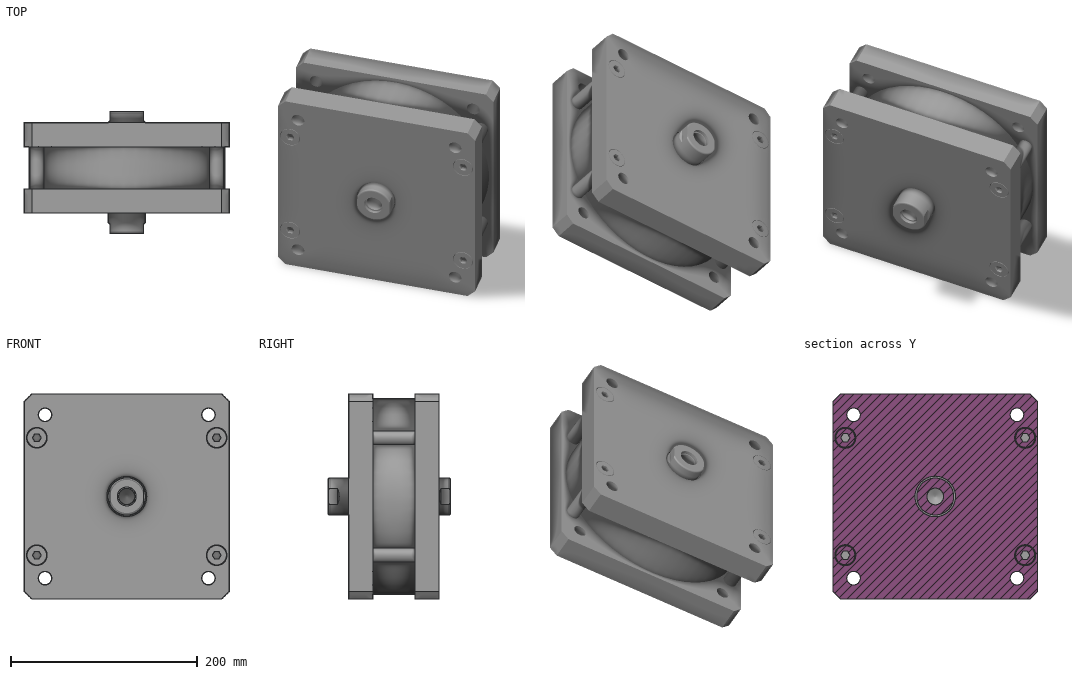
import cadquery as cq
import math


plate_size = 220.0
plate_thickness = 26.0
plate_gap = 44.9
plate_corner_chamfer = 8.4

barrel_diameter = 210.0

mount_hole_diameter = 14.0
mount_hole_offset = 87.5

rod_diameter = 15.0
rod_x = 96.4
rod_z = 63.0
head_diameter = 21.0
counterbore_diameter = 22.0
counterbore_depth = 12.0
socket_across_flats = 8.1
socket_depth = 5.5

shaft_diameter = 40.0
shaft_front_length = 22.0
shaft_rear_length = 12.0
shaft_end_rounding = 1.8
shaft_groove_diameter = 43.0
shaft_groove_depth = 2.0
flat_width = 36.0
flat_length = 10.0
cut_clearance = 2.2

thread_hole_diameter = 17.4
thread_hole_depth = 28.5
thread_mouth_diameter = 20.2
thread_mouth_depth = 3.5
drill_point_angle = 118.0

inner_y = plate_gap / 2
outer_y = inner_y + plate_thickness
front_end_y = -outer_y - shaft_front_length
rear_end_y = outer_y + shaft_rear_length
shaft_ends = [(front_end_y, -1), (rear_end_y, 1)]
shaft_radius = shaft_diameter / 2
rod_centers = [(x, z) for x in (-rod_x, rod_x) for z in (-rod_z, rod_z)]


def plane_at(y, side):
    """Plane at position y whose normal points along +Y (side 1) or -Y (side -1)."""
    return cq.Plane(origin=(0, y, 0), xDir=(1, 0, 0), normal=(0, side, 0))


def outward_plane(side):
    """Outer face of one end plate."""
    return plane_at(side * outer_y, side)


def make_plate(side):
    """Square end plate with cut corners, mounting holes, counterbores and shaft groove."""
    plate = (
        cq.Workplane(plane_at(side * inner_y, side))
        .rect(plate_size, plate_size)
        .extrude(plate_thickness)
        .edges("|Y")
        .chamfer(plate_corner_chamfer)
    )
    mount_holes = (
        cq.Workplane(outward_plane(side))
        .rect(2 * mount_hole_offset, 2 * mount_hole_offset, forConstruction=True)
        .vertices()
        .circle(mount_hole_diameter / 2)
        .extrude(-plate_thickness)
    )
    counterbores = (
        cq.Workplane(outward_plane(side))
        .pushPoints(rod_centers)
        .circle(counterbore_diameter / 2)
        .extrude(-counterbore_depth)
    )
    groove = (
        cq.Workplane(outward_plane(side))
        .circle(shaft_groove_diameter / 2)
        .extrude(-shaft_groove_depth)
    )
    return plate.cut(mount_holes).cut(counterbores).cut(groove)


def make_screw_heads(side):
    """Socket screw heads sitting flush in the counterbores of one plate."""
    heads = (
        cq.Workplane(outward_plane(side))
        .pushPoints(rod_centers)
        .circle(head_diameter / 2)
        .extrude(-counterbore_depth)
    )
    across_corners = socket_across_flats / math.cos(math.pi / 6)
    sockets = (
        cq.Workplane(outward_plane(side))
        .pushPoints(rod_centers)
        .polygon(6, across_corners)
        .extrude(-socket_depth)
    )
    return heads.cut(sockets)


def make_barrel_and_rods():
    """Round barrel and the four tie rods clamped between the plates."""
    base = cq.Workplane(plane_at(-inner_y, 1))
    barrel = base.circle(barrel_diameter / 2).extrude(plate_gap)
    rods = base.pushPoints(rod_centers).circle(rod_diameter / 2).extrude(plate_gap)
    return barrel, rods


def flat_cutter(end_y, side):
    """Pair of wrench flats on the +X and -X sides, each running out at 45 degrees."""
    flat_x = flat_width / 2
    clear_x = shaft_radius + cut_clearance
    flat_end_y = end_y - side * flat_length
    runout_y = flat_end_y - side * (clear_x - flat_x)
    one_side = (
        cq.Workplane("XY")
        .polyline([(flat_x, end_y), (clear_x, end_y), (clear_x, runout_y), (flat_x, flat_end_y)])
        .close()
        .extrude(shaft_radius, both=True)
    )
    return one_side.union(one_side.mirror("YZ"))


def thread_hole_cutter(end_y, side):
    """Counterbored blind hole with a conical drill point, on the shaft axis."""
    hole_radius = thread_hole_diameter / 2
    mouth_radius = thread_mouth_diameter / 2
    point_depth = hole_radius / math.tan(math.radians(drill_point_angle / 2))
    profile = [
        (0, 0),
        (mouth_radius, 0),
        (mouth_radius, thread_mouth_depth),
        (hole_radius, thread_mouth_depth),
        (hole_radius, thread_hole_depth),
        (0, thread_hole_depth + point_depth),
    ]
    return (
        cq.Workplane("XY")
        .polyline([(radius, end_y - side * depth) for radius, depth in profile])
        .close()
        .revolve(360, (0, 0, 0), (0, 1, 0))
    )


def make_shaft():
    """Through shaft with rounded ends and a pair of wrench flats at each end."""
    shaft = (
        cq.Workplane(plane_at(front_end_y, 1))
        .circle(shaft_radius)
        .extrude(rear_end_y - front_end_y)
        .faces("<Y or >Y")
        .edges()
        .fillet(shaft_end_rounding)
    )
    for end_y, side in shaft_ends:
        shaft = shaft.cut(flat_cutter(end_y, side))
    return shaft


barrel, rods = make_barrel_and_rods()
result = barrel.union(rods)
for side in (-1, 1):
    result = result.union(make_plate(side)).union(make_screw_heads(side))
result = result.union(make_shaft())
for end_y, side in shaft_ends:
    result = result.cut(thread_hole_cutter(end_y, side))